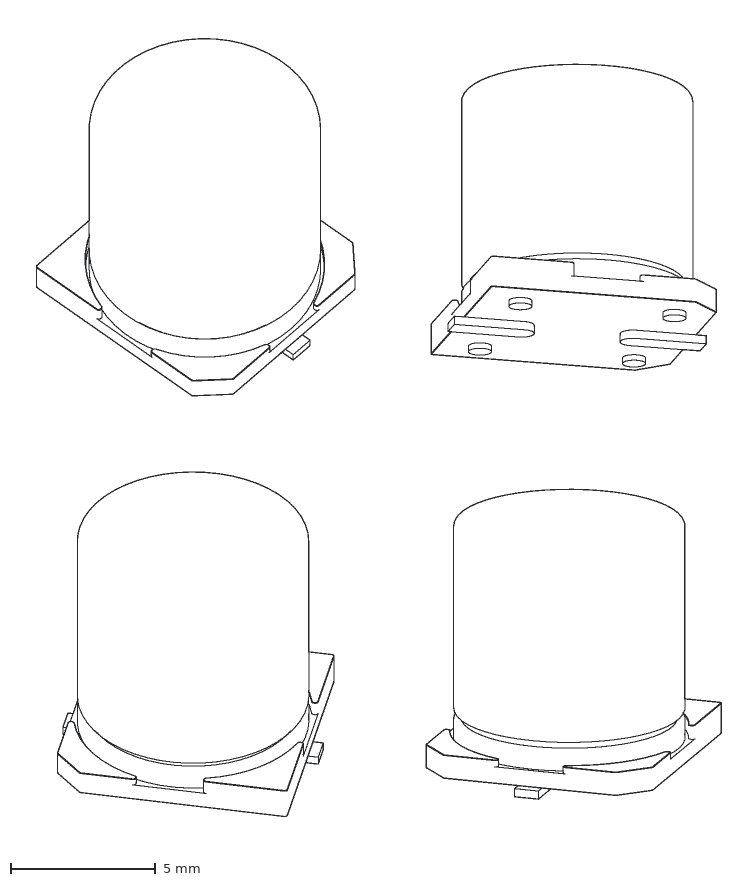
import cadquery as cq

total_height = 8.7
lead_thickness = 0.3
base_bottom = lead_thickness
seat_level = 0.9
low_corner_top = 1.14
high_corner_top = 1.4

base_size = 8.3
corner_bevel = 1.0
upright_edge_radius = 0.1
rim_bevel = 0.02
recess_radius = 4.12
notch_width = 2.38

can_radius = 8.0 / 2
top_radius = 0.2
groove_radius = 7.5 / 2
groove_bottom = 1.65
groove_top = 1.91
groove_lip_radius = 0.09

lead_span = 9.0
lead_width = 0.87
lead_gap = 3.1

peg_diameter = 0.8
peg_length = 0.2
peg_spacing = 5.5


def base_plate():
    """Square plate up to the seat level, with the two +X corners bevelled."""
    plate = (
        cq.Workplane("XY")
        .workplane(offset=base_bottom)
        .rect(base_size, base_size)
        .extrude(seat_level - base_bottom)
    )
    plate = plate.edges("|Z and >X").chamfer(corner_bevel)
    plate = plate.edges("|Z").fillet(upright_edge_radius)
    return plate.faces("<Z").edges().chamfer(rim_bevel)


def corner_post(x_side, y_side, top):
    """Raised corner of the base, hollowed by the can recess and rounded upright."""
    inner = notch_width / 2
    width = base_size / 2 - inner
    centre = inner + width / 2
    post_height = top - seat_level
    post = (
        cq.Workplane("XY")
        .workplane(offset=seat_level)
        .center(x_side * centre, y_side * centre)
        .rect(width, width)
        .extrude(post_height)
    )
    recess = (
        cq.Workplane("XY")
        .workplane(offset=seat_level)
        .circle(recess_radius)
        .extrude(post_height)
    )
    post = post.cut(recess)
    if x_side > 0:
        outer_corner = ">X and >Y" if y_side > 0 else ">X and <Y"
        post = post.edges("|Z").edges(outer_corner).chamfer(corner_bevel)
    post = post.edges("|Z").fillet(upright_edge_radius)
    return post.faces(">Z").edges().chamfer(rim_bevel)


def base():
    """Plate with four corner posts, leaving a notch at the middle of each side."""
    body = base_plate()
    for y_side in (-1, 1):
        body = body.union(corner_post(-1, y_side, high_corner_top))
        body = body.union(corner_post(1, y_side, low_corner_top))
    return body


def can():
    """Round can with a rolled groove near its foot, revolved about Z."""
    profile = (
        cq.Workplane("XZ")
        .moveTo(0, seat_level)
        .lineTo(can_radius, seat_level)
        .lineTo(can_radius, groove_bottom - groove_lip_radius)
        .radiusArc((can_radius - groove_lip_radius, groove_bottom), -groove_lip_radius)
        .lineTo(groove_radius, groove_bottom)
        .lineTo(groove_radius, groove_top)
        .lineTo(can_radius - groove_lip_radius, groove_top)
        .radiusArc((can_radius, groove_top + groove_lip_radius), -groove_lip_radius)
        .lineTo(can_radius, total_height - top_radius)
        .radiusArc((can_radius - top_radius, total_height), -top_radius)
        .lineTo(0, total_height)
        .close()
    )
    return profile.revolve(360, (0, 0, 0), (0, 1, 0))


def lead(x_side):
    """Flat lead with a square outer end and a half-round inner end."""
    half_width = lead_width / 2
    tip = x_side * lead_gap / 2
    straight_end = x_side * (lead_gap / 2 + half_width)
    outer_end = x_side * lead_span / 2
    return (
        cq.Workplane("XY")
        .moveTo(outer_end, -half_width)
        .lineTo(straight_end, -half_width)
        .threePointArc((tip, 0), (straight_end, half_width))
        .lineTo(outer_end, half_width)
        .close()
        .extrude(lead_thickness)
    )


def pegs():
    """Four round pegs under the base."""
    return (
        cq.Workplane("XY")
        .workplane(offset=base_bottom)
        .rect(peg_spacing, peg_spacing, forConstruction=True)
        .vertices()
        .circle(peg_diameter / 2)
        .extrude(-peg_length)
    )


result = base().union(can()).union(pegs())
for side in (-1, 1):
    result = result.union(lead(side))